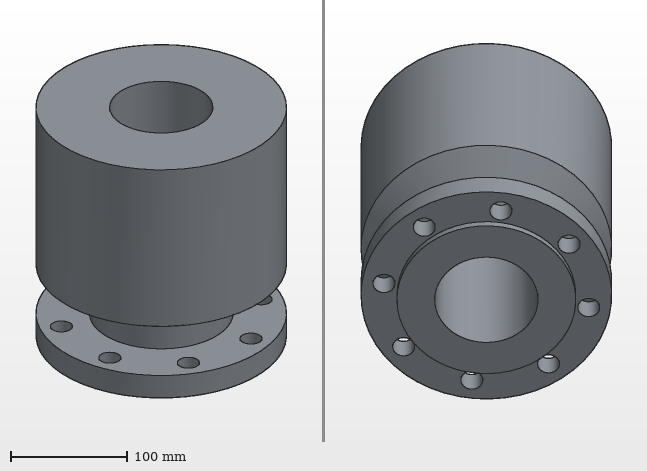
import cadquery as cq

total_height = 233.4
body_diameter = 215.9
bore_diameter = 89.0

face_diameter = 154.0
face_height = 6.5
flange_diameter = body_diameter
flange_thickness = 22.5

neck_diameter = 124.0
neck_height = 22.2
cone_height = 26.5

bolt_count = 8
bolt_circle_diameter = 178.0
bolt_hole_diameter = 19.0

flange_bottom = face_height
flange_top = flange_bottom + flange_thickness
neck_top = flange_top + neck_height
cone_top = neck_top + cone_height


def turned_profile():
    """Revolve the half section, bore included, about the Z axis."""
    bore_radius = bore_diameter / 2
    face_radius = face_diameter / 2
    flange_radius = flange_diameter / 2
    neck_radius = neck_diameter / 2
    body_radius = body_diameter / 2
    half_section = [
        (bore_radius, 0),
        (face_radius, 0),
        (face_radius, flange_bottom),
        (flange_radius, flange_bottom),
        (flange_radius, flange_top),
        (neck_radius, flange_top),
        (neck_radius, neck_top),
        (body_radius, cone_top),
        (body_radius, total_height),
        (bore_radius, total_height),
    ]
    return cq.Workplane("XZ").polyline(half_section).close().revolve(360, (0, 0, 0), (0, 1, 0))


def bolt_holes():
    """Cylinders through the flange, evenly spaced on the bolt circle, the first on +X."""
    return (
        cq.Workplane("XY")
        .workplane(offset=flange_bottom)
        .polarArray(bolt_circle_diameter / 2, 0, 360, bolt_count)
        .circle(bolt_hole_diameter / 2)
        .extrude(flange_thickness)
    )


result = turned_profile().cut(bolt_holes())